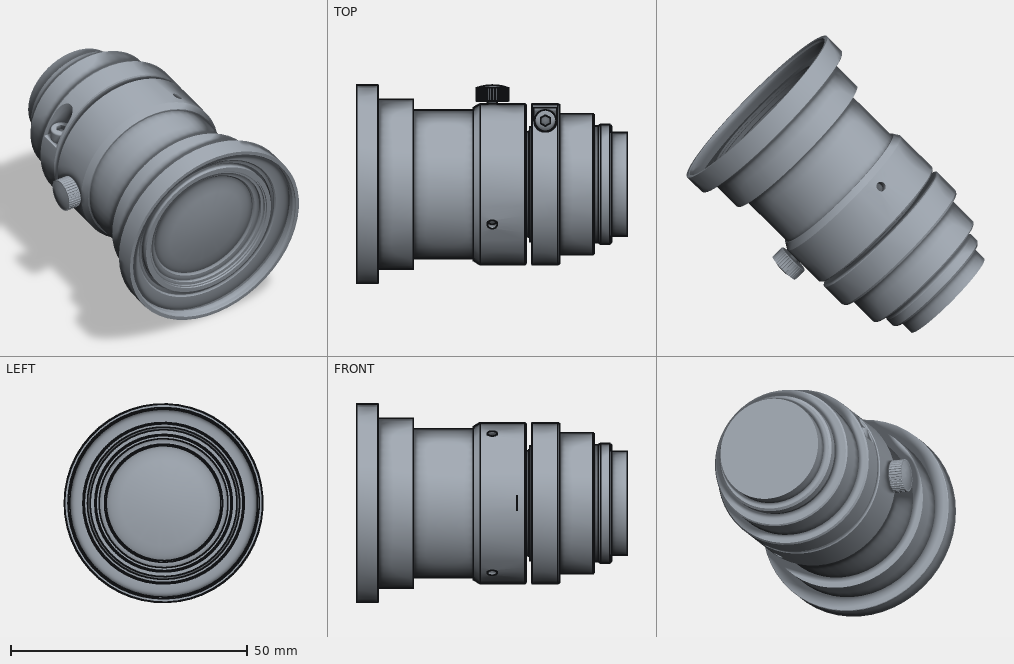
import cadquery as cq
import math


total_length = 57.3
hood_radius = 42.0 / 2
hood_end = 4.6
hood_chamfer = 0.1
shoulder_radius = 18.0
shoulder_end = 12.05
barrel_radius = 15.75

ring_radius = 17.0
ring_start = 24.7
ring_end = 35.9
ring_bevel_length = 1.45
ring_bevel_drop = 0.85
ring_chamfer = 0.35

neck_radius = 22.3 / 2
collar_radius = 22.5 / 2
collar_start = 36.4
disc_radius = 12.15
disc_start = 36.6

clamp_start = 37.0
clamp_end = 43.0
clamp_front_chamfer_length = 0.2
clamp_rear_chamfer_length = 0.45
clamp_chamfer_drop = 0.3
mount_radius = 14.95
mount_end = 50.25
mount_chamfer = 0.3
groove_radius = 12.4
lip_start = 51.15
lip_end = 53.95
lip_radius = 12.65
lip_chamfer = 0.45
tail_radius = 22.0 / 2

rim_bore_radius = 20.2
rim_bore_depth = 0.35
hood_bore_radius = 19.9
hood_groove_start = 2.0
hood_floor = 2.85
channel_outer_radius = 16.8
channel_chamfer = 0.3
channel_step_radius = 16.1
channel_step_depth = 3.4
channel_inner_radius = 15.5
channel_depth = 4.0
bezel_front = 2.4
bezel_bore_radius = 14.55
bezel_step_depth = 2.8
inner_bore_radius = 14.25
retainer_collar_radius = 13.65
retainer_collar_front = 3.25
retainer_front = 4.05
retainer_radius = 12.5
lens_radius = 12.15
lens_edge = 4.65
lens_sag = 1.5

ring_hole_x = 28.7
ring_hole_diameter = 2.05
ring_hole_depth = 1.9
knob_spacing = 120

knob_radius = 3.45
knob_bottom = 17.5
knob_shoulder = 20.45
knob_top = hood_radius
knob_dome_radius = 3.15
knob_chamfer = 0.2
stem_radius = 1.9 / 2
stem_flare_radius = 1.1
stem_flare_height = 0.5
stem_bottom = 15.45
knurl_count = 36
knurl_depth = 0.2
knurl_width = 0.2

index_x = 33.95
index_length = 3.05
index_width = 0.1
index_depth = 0.1

screw_x = 39.9
screw_y = 13.45
screw_floor = 5.15
screw_slot_width = 4.8
screw_head_diameter = 4.5
screw_head_height = 2.5
screw_head_fillet = 0.35
hex_across_flats = 2.0
hex_depth = 1.15


def make_body():
    """Revolve the half section of the whole lens about the X axis."""
    retainer_chamfer = retainer_radius - lens_radius
    lens_curve = (lens_radius ** 2 + lens_sag ** 2) / (2 * lens_sag)
    bore_chamfer = rim_bore_radius - hood_bore_radius
    profile = (
        cq.Workplane("XY")
        .moveTo(lens_edge - lens_sag, 0)
        .radiusArc((lens_edge, lens_radius), lens_curve)
        .lineTo(retainer_front + retainer_chamfer, lens_radius)
        .lineTo(retainer_front, retainer_radius)
        .lineTo(retainer_front, retainer_collar_radius)
        .lineTo(retainer_collar_front, retainer_collar_radius)
        .lineTo(retainer_collar_front, inner_bore_radius)
        .lineTo(bezel_step_depth, inner_bore_radius)
        .lineTo(bezel_step_depth, bezel_bore_radius)
        .lineTo(bezel_front, bezel_bore_radius)
        .lineTo(bezel_front, channel_inner_radius)
        .lineTo(channel_depth, channel_inner_radius)
        .lineTo(channel_depth, channel_step_radius)
        .lineTo(channel_step_depth, channel_step_radius)
        .lineTo(channel_step_depth, channel_outer_radius)
        .lineTo(hood_floor + channel_chamfer, channel_outer_radius)
        .lineTo(hood_floor, channel_outer_radius + channel_chamfer)
        .lineTo(hood_floor, rim_bore_radius)
        .lineTo(hood_groove_start, rim_bore_radius)
        .lineTo(hood_groove_start, hood_bore_radius)
        .lineTo(rim_bore_depth + bore_chamfer, hood_bore_radius)
        .lineTo(rim_bore_depth, rim_bore_radius)
        .lineTo(0, rim_bore_radius)
        .lineTo(0, hood_radius)
        .lineTo(hood_end - hood_chamfer, hood_radius)
        .lineTo(hood_end, hood_radius - hood_chamfer)
        .lineTo(hood_end, shoulder_radius)
        .lineTo(shoulder_end, shoulder_radius)
        .lineTo(shoulder_end, barrel_radius)
        .lineTo(ring_start, barrel_radius)
        .lineTo(ring_start, ring_radius - ring_bevel_drop)
        .lineTo(ring_start + ring_bevel_length, ring_radius)
        .lineTo(ring_end - ring_chamfer, ring_radius)
        .lineTo(ring_end, ring_radius - ring_chamfer)
        .lineTo(ring_end, neck_radius)
        .lineTo(collar_start, neck_radius)
        .lineTo(collar_start, collar_radius)
        .lineTo(disc_start, collar_radius)
        .lineTo(disc_start, disc_radius)
        .lineTo(clamp_start, disc_radius)
        .lineTo(clamp_start, ring_radius - clamp_chamfer_drop)
        .lineTo(clamp_start + clamp_front_chamfer_length, ring_radius)
        .lineTo(clamp_end - clamp_rear_chamfer_length, ring_radius)
        .lineTo(clamp_end, ring_radius - clamp_chamfer_drop)
        .lineTo(clamp_end, mount_radius)
        .lineTo(mount_end - mount_chamfer, mount_radius)
        .lineTo(mount_end, mount_radius - mount_chamfer)
        .lineTo(mount_end, groove_radius)
        .lineTo(lip_start, groove_radius)
        .lineTo(lip_start + lip_chamfer, lip_radius)
        .lineTo(lip_end - lip_chamfer, lip_radius)
        .lineTo(lip_end, lip_radius - lip_chamfer)
        .lineTo(lip_end, tail_radius)
        .lineTo(total_length, tail_radius)
        .lineTo(total_length, 0)
        .close()
    )
    return profile.revolve(360, (0, 0, 0), (1, 0, 0))


def make_ring_hole(angle):
    """Blind radial hole in the iris ring, turned about X from the +Y direction."""
    hole = (
        cq.Workplane("XZ", origin=(ring_hole_x, ring_radius - ring_hole_depth, 0))
        .circle(ring_hole_diameter / 2)
        .extrude(-2 * ring_hole_depth)
    )
    return hole.rotate((0, 0, 0), (1, 0, 0), angle)


def make_knob():
    """Knurled thumb screw pointing along +Y, built about its own axis."""
    dome_sag = knob_top - knob_shoulder
    dome_curve = (knob_dome_radius ** 2 + dome_sag ** 2) / (2 * dome_sag)
    knob = (
        cq.Workplane("XY")
        .moveTo(0, stem_bottom)
        .lineTo(stem_radius, stem_bottom)
        .lineTo(stem_radius, knob_bottom - stem_flare_height)
        .lineTo(stem_flare_radius, knob_bottom)
        .lineTo(knob_radius - knob_chamfer, knob_bottom)
        .lineTo(knob_radius, knob_bottom + knob_chamfer)
        .lineTo(knob_radius, knob_shoulder)
        .lineTo(knob_dome_radius, knob_shoulder)
        .radiusArc((0, knob_top), -dome_curve)
        .close()
        .revolve(360, (0, 0, 0), (0, 1, 0))
    )
    groove = (
        cq.Workplane("XZ", origin=(0, knob_bottom, 0))
        .moveTo(knob_radius - knurl_depth, 0)
        .lineTo(knob_radius + knurl_depth, knurl_width)
        .lineTo(knob_radius + knurl_depth, -knurl_width)
        .close()
        .extrude(knob_bottom - knob_shoulder)
    )
    for tooth in range(knurl_count):
        knob = knob.cut(groove.rotate((0, 0, 0), (0, 1, 0), tooth * 360 / knurl_count))
    return knob.translate((ring_hole_x, 0, 0))


def make_index_mark():
    """Thin engraved line across the -Y side of the iris ring."""
    mark = cq.Workplane("XY").box(index_width, 2 * index_depth, index_length)
    return mark.translate((index_x, -ring_radius, 0))


def make_screw_slot():
    """Round-ended slot in the clamp ring, open towards +Y and +Z."""
    slot_length = ring_radius - screw_y
    height = ring_radius - screw_floor
    base = cq.Workplane("XY", origin=(screw_x, screw_y, screw_floor))
    round_end = base.circle(screw_slot_width / 2).extrude(height)
    straight_part = base.center(0, slot_length / 2).rect(screw_slot_width, slot_length).extrude(height)
    return round_end.union(straight_part)


def make_screw():
    """Socket head of the clamp screw, standing on the slot floor."""
    head = (
        cq.Workplane("XY", origin=(screw_x, screw_y, screw_floor))
        .circle(screw_head_diameter / 2)
        .extrude(screw_head_height)
        .faces(">Z")
        .edges()
        .fillet(screw_head_fillet)
    )
    socket = (
        cq.Workplane("XY", origin=(screw_x, screw_y, screw_floor + screw_head_height))
        .transformed(rotate=(0, 0, 90))
        .polygon(6, hex_across_flats / math.cos(math.pi / 6))
        .extrude(-hex_depth)
    )
    return head.cut(socket)


result = make_body()
for turn in (knob_spacing, 2 * knob_spacing):
    result = result.cut(make_ring_hole(turn))
result = result.cut(make_index_mark())
result = result.cut(make_screw_slot()).union(make_screw())
result = result.union(make_knob())